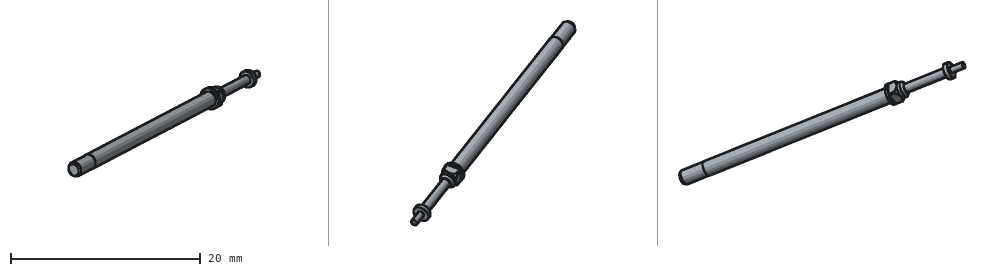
import cadquery as cq


BARREL_DIAMETER = 1.65
TAIL_DIAMETER = 1.6
TAIL_LENGTH = 2.95
BARREL_LENGTH = 25.5
TAIL_END_CHAMFER_LENGTH = 0.25
TAIL_END_DIAMETER = 1.3

COLLAR_DIAMETER = 2.3
COLLAR_THICKNESS = 0.3
SQUARE_ACROSS_FLATS = 1.75
SQUARE_LENGTH = 1.0

HEAD_DIAMETER = SQUARE_ACROSS_FLATS
HEAD_LENGTH = 0.37
HEAD_CONE_LENGTH = 0.3
HEAD_FRONT_DIAMETER = 1.2

STEM_DIAMETER = 1.0
STEM_LENGTH = 5.03
DISC_DIAMETER = 1.8
DISC_THICKNESS = 0.5
TIP_DIAMETER = 0.7
TIP_LENGTH = 1.5

SQUARE_START = COLLAR_THICKNESS
HEAD_START = SQUARE_START + SQUARE_LENGTH
CONE_START = HEAD_START + HEAD_LENGTH
STEM_START = CONE_START + HEAD_CONE_LENGTH
DISC_START = STEM_START + STEM_LENGTH
TIP_START = DISC_START + DISC_THICKNESS


def cylinder(diameter, start, length):
    """Cylinder on the Y axis running from start towards +Y."""
    return cq.Workplane("XZ", origin=(0, start, 0)).circle(diameter / 2).extrude(-length)


def revolve_profile(points):
    """Solid of revolution about Y from (radius, y) points."""
    return cq.Workplane("XY").polyline(points).close().revolve(360, (0, 0, 0), (0, 1, 0))


def make_barrel():
    """Barrel with a slightly thinner tail that ends in a shallow cone."""
    tail_radius = TAIL_DIAMETER / 2
    end_y = -BARREL_LENGTH
    tail = revolve_profile([
        (0, end_y),
        (TAIL_END_DIAMETER / 2, end_y),
        (tail_radius, end_y + TAIL_END_CHAMFER_LENGTH),
        (tail_radius, end_y + TAIL_LENGTH),
        (0, end_y + TAIL_LENGTH),
    ])
    tube_start = end_y + TAIL_LENGTH
    tube = cylinder(BARREL_DIAMETER, tube_start, -tube_start)
    return tail.union(tube)


def make_square():
    """Square section with corners rounded to the collar diameter and a 45 degree turned front."""
    blank = (
        cq.Workplane("XZ", origin=(0, SQUARE_START, 0))
        .rect(SQUARE_ACROSS_FLATS, SQUARE_ACROSS_FLATS)
        .extrude(-SQUARE_LENGTH)
    )
    corner_radius = COLLAR_DIAMETER / 2
    front_radius = HEAD_DIAMETER / 2
    chamfer_length = corner_radius - front_radius
    envelope = revolve_profile([
        (0, SQUARE_START),
        (corner_radius, SQUARE_START),
        (corner_radius, HEAD_START - chamfer_length),
        (front_radius, HEAD_START),
        (0, HEAD_START),
    ])
    return blank.intersect(envelope)


def make_head():
    """Round head with a conical front."""
    radius = HEAD_DIAMETER / 2
    return revolve_profile([
        (0, HEAD_START),
        (radius, HEAD_START),
        (radius, CONE_START),
        (HEAD_FRONT_DIAMETER / 2, STEM_START),
        (0, STEM_START),
    ])


def make_plunger():
    """Stem carrying a disc and a thinner contact tip."""
    stem = cylinder(STEM_DIAMETER, STEM_START, STEM_LENGTH)
    disc = cylinder(DISC_DIAMETER, DISC_START, DISC_THICKNESS)
    tip = cylinder(TIP_DIAMETER, TIP_START, TIP_LENGTH)
    return stem.union(disc).union(tip)


result = (
    make_barrel()
    .union(cylinder(COLLAR_DIAMETER, 0, COLLAR_THICKNESS))
    .union(make_square())
    .union(make_head())
    .union(make_plunger())
)